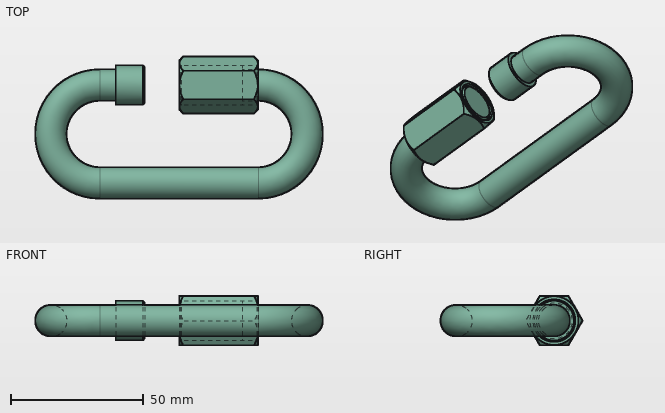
import cadquery as cq

bar_diameter = 12.0
bend_radius = 18.5
straight_length = 60.0
bend_x = straight_length / 2
bar_radius = bar_diameter / 2

thread_diameter = 15.0
free_end_root_x = -24.0
free_end_tip_x = -13.0
nut_end_root_x = -free_end_root_x
thread_chamfer = 0.8

nut_across_flats = 18.7
nut_length = straight_length / 2
nut_start_x = bend_x - nut_length
nut_end_face_diameter = 18.4
nut_flats_to_corners = 2 / 3**0.5
nut_across_corners = nut_across_flats * nut_flats_to_corners
nut_corner_chamfer = (nut_across_corners - nut_end_face_diameter) / 2
countersink = 0.5


def rod_along_x(start_x, end_x, diameter):
    """Solid cylinder on the axis of the link's two ends."""
    plane = cq.Plane(origin=(start_x, bend_radius, 0), xDir=(0, 1, 0), normal=(1, 0, 0))
    return cq.Workplane(plane).circle(diameter / 2).extrude(end_x - start_x)


def bent_bar():
    """Bar from the free end, round the oval, to the threaded end inside the nut."""
    path = (
        cq.Workplane("XY")
        .moveTo(free_end_root_x, bend_radius)
        .lineTo(-bend_x, bend_radius)
        .threePointArc((-bend_x - bend_radius, 0), (-bend_x, -bend_radius))
        .lineTo(bend_x, -bend_radius)
        .threePointArc((bend_x + bend_radius, 0), (bend_x, bend_radius))
        .lineTo(nut_end_root_x, bend_radius)
    )
    start = cq.Plane(origin=(free_end_root_x, bend_radius, 0), xDir=(0, 1, 0), normal=(-1, 0, 0))
    return cq.Workplane(start).circle(bar_radius).sweep(path)


def make_link():
    """Bent bar with a thicker, chamfered threaded end on each side of the opening."""
    free_end = rod_along_x(free_end_root_x, free_end_tip_x, thread_diameter)
    free_end = free_end.faces(">X").chamfer(thread_chamfer)
    nut_end = rod_along_x(nut_start_x, nut_end_root_x, thread_diameter)
    nut_end = nut_end.faces("<X").chamfer(thread_chamfer)
    return bent_bar().union(free_end).union(nut_end)


def make_nut():
    """Hexagonal sleeve with turned corners and a bore that fits the threaded end."""
    end_plane = cq.Plane(origin=(nut_start_x, bend_radius, 0), xDir=(0, 1, 0), normal=(1, 0, 0))
    hexagon = cq.Workplane(end_plane).polygon(6, nut_across_corners).extrude(nut_length)
    turned_blank = rod_along_x(nut_start_x, bend_x, nut_across_corners)
    turned_blank = turned_blank.faces("<X or >X").chamfer(nut_corner_chamfer)
    bore = rod_along_x(nut_start_x, bend_x, thread_diameter)
    nut = hexagon.intersect(turned_blank).cut(bore)
    bore_edges = nut.faces("<X or >X").edges(cq.selectors.RadiusNthSelector(0))
    return bore_edges.chamfer(countersink)


link = make_link()
nut = make_nut()
result = cq.Compound.makeCompound([link.solids().val(), nut.solids().val()])